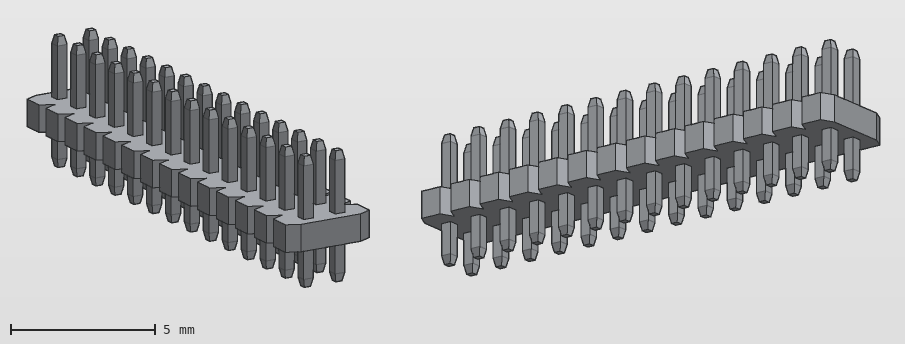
import cadquery as cq

length = 17.78
width = 3.4
columns = 14
rows = 2
pitch = length / columns
housing_height = 1.0
notch_depth = 0.5
notch_half_width = 0.23

total_height = 4.75
tail_length = 1.5
pin_size = 0.4
tip_size = 0.25
tip_length = 0.32


def lobed_edge():
    """Points along the -Y edge of the housing, from left to right."""
    outer_y = -width / 2
    notch_y = outer_y + notch_depth
    points = []
    for column in range(columns):
        left = -length / 2 + column * pitch
        right = left + pitch
        points.append((left, notch_y))
        points.append((left + notch_half_width, outer_y))
        points.append((right - notch_half_width, outer_y))
    points.append((length / 2, notch_y))
    return points


def make_housing():
    """Flat strip standing on Z = 0 with notched long sides and matching cut corners."""
    front_edge = lobed_edge()
    back_edge = [(-x, -y) for x, y in front_edge]
    return cq.Workplane("XY").polyline(front_edge + back_edge).close().extrude(housing_height)


def make_tip(base_z, direction):
    """Tapered pin end that starts at base_z and narrows along direction (+1 up, -1 down)."""
    return (
        cq.Workplane("XY", origin=(0, 0, base_z))
        .rect(pin_size, pin_size)
        .workplane(offset=direction * tip_length)
        .rect(tip_size, tip_size)
        .loft(ruled=True)
    )


def make_pin():
    """One pin on the Z axis, passing through the housing."""
    shank_bottom = -tail_length + tip_length
    shank_top = total_height - tail_length - tip_length
    shank = (
        cq.Workplane("XY", origin=(0, 0, shank_bottom))
        .rect(pin_size, pin_size)
        .extrude(shank_top - shank_bottom)
    )
    return shank.union(make_tip(shank_top, 1)).union(make_tip(shank_bottom, -1))


pin = make_pin().val()
pins = (
    cq.Workplane("XY")
    .rarray(pitch, pitch, columns, rows)
    .eachpoint(lambda place: pin.moved(place))
)

result = make_housing().union(pins)